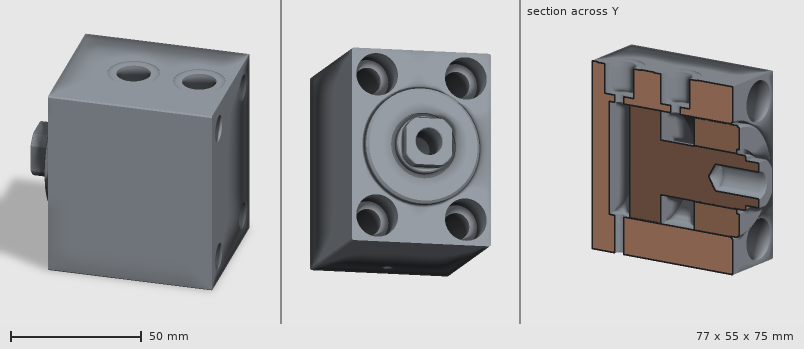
import cadquery as cq


BLOCK_LENGTH = 65.0
BLOCK_WIDTH = 55.0
BLOCK_HEIGHT = 75.0
EDGE_CHAMFER = 0.55

BORE_DIA = 44.8
BORE_DEPTH = 57.0
BORE_MOUTH_CHAMFER = 1.0

BOLT_SPACING_Y = 35.0
BOLT_SPACING_Z = 55.0
BOLT_DIA = 10.5
BOLT_HEAD_DIA = 16.5
BOLT_HEAD_DEPTH = 15.0

FRONT_PORT_X = 26.5
PORT_PITCH = 26.0
REAR_PORT_X = FRONT_PORT_X + PORT_PITCH
PORT_FACE_DIA = 20.0
PORT_FACE_DEPTH = 0.2
PORT_DIA = 13.2
PORT_DEPTH = 12.0
PORT_PASSAGE_DIA = 4.0

GLAND_PROJECTION = 3.0
GLAND_INSERTION = 18.0
GLAND_CHAMFER = 1.0
WIPER_RECESS_DIA = 25.5
WIPER_RECESS_DEPTH = 1.0

ROD_DIA = 22.0
ROD_PROJECTION = 12.0
ROD_SHOULDER_CHAMFER = 0.55
PISTON_START = 33.1
PISTON_END = 47.75

WRENCH_LENGTH = 6.0
WRENCH_DIA = ROD_DIA - 2 * ROD_SHOULDER_CHAMFER
WRENCH_FLATS = 18.0
WRENCH_CHAMFER = 0.3

THREAD_HOLE_DIA = 10.5
THREAD_HOLE_DEPTH = 20.0
THREAD_HOLE_CHAMFER = 0.3
DRILL_POINT_LENGTH = 3.1


def turned(profile):
    """Solid of revolution about X from (x, radius) points that start and end on the axis."""
    return cq.Workplane("XZ").polyline(profile).close().revolve(360, (0, 0, 0), (1, 0, 0))


def disc_along_x(start, end, diameter):
    return cq.Workplane("YZ", origin=(start, 0, 0)).circle(diameter / 2).extrude(end - start)


def make_bore():
    """Blind cylinder bore with a chamfered mouth."""
    radius = BORE_DIA / 2
    return turned([
        (0, 0),
        (0, radius + BORE_MOUTH_CHAMFER),
        (BORE_MOUTH_CHAMFER, radius),
        (BORE_DEPTH, radius),
        (BORE_DEPTH, 0),
    ])


def drill_mounting_holes(block):
    """Four counterbored holes running through the block along X."""
    return (
        block.faces("<X").workplane(origin=(0, 0, 0))
        .rect(BOLT_SPACING_Y, BOLT_SPACING_Z, forConstruction=True).vertices()
        .cboreHole(BOLT_DIA, BOLT_HEAD_DIA, BOLT_HEAD_DEPTH)
    )


def make_port(x):
    """Spot face, port bore and the passage that opens into the cylinder bore."""
    top = cq.Workplane("XY", origin=(x, 0, BLOCK_HEIGHT / 2))
    spot_face = top.circle(PORT_FACE_DIA / 2).extrude(-PORT_FACE_DEPTH)
    port_bore = top.circle(PORT_DIA / 2).extrude(-PORT_DEPTH)
    passage = top.circle(PORT_PASSAGE_DIA / 2).extrude(-BLOCK_HEIGHT / 2)
    return spot_face.union(port_bore).union(passage)


def make_block():
    block = cq.Workplane("XY").box(BLOCK_LENGTH, BLOCK_WIDTH, BLOCK_HEIGHT, centered=(False, True, True))
    block = block.edges("|X").chamfer(EDGE_CHAMFER)
    block = block.cut(make_bore())
    block = drill_mounting_holes(block)
    for x in (FRONT_PORT_X, REAR_PORT_X):
        block = block.cut(make_port(x))
    bottom_passage = (
        cq.Workplane("XY", origin=(REAR_PORT_X, 0, 0))
        .circle(PORT_PASSAGE_DIA / 2).extrude(-BLOCK_HEIGHT / 2)
    )
    return block.cut(bottom_passage)


def make_gland():
    """Guide ring that closes the bore, with a shallow wiper recess around the rod."""
    gland = disc_along_x(-GLAND_PROJECTION, GLAND_INSERTION, BORE_DIA).faces("<X").chamfer(GLAND_CHAMFER)
    rod_hole = disc_along_x(-GLAND_PROJECTION, GLAND_INSERTION, ROD_DIA)
    wiper_recess = disc_along_x(-GLAND_PROJECTION, WIPER_RECESS_DEPTH - GLAND_PROJECTION, WIPER_RECESS_DIA)
    return gland.cut(rod_hole).cut(wiper_recess)


def make_thread_hole():
    """Blind hole in the rod end with a chamfered mouth and a conical bottom."""
    radius = THREAD_HOLE_DIA / 2
    bottom = THREAD_HOLE_DEPTH - ROD_PROJECTION
    return turned([
        (-ROD_PROJECTION, 0),
        (-ROD_PROJECTION, radius + THREAD_HOLE_CHAMFER),
        (THREAD_HOLE_CHAMFER - ROD_PROJECTION, radius),
        (bottom, radius),
        (bottom + DRILL_POINT_LENGTH, 0),
    ])


def make_piston_rod():
    """Rod and piston in one piece, with four wrench flats on the outer end."""
    shoulder_x = WRENCH_LENGTH - ROD_PROJECTION
    rod = turned([
        (shoulder_x, 0),
        (shoulder_x, WRENCH_DIA / 2),
        (shoulder_x + ROD_SHOULDER_CHAMFER, ROD_DIA / 2),
        (PISTON_START, ROD_DIA / 2),
        (PISTON_START, BORE_DIA / 2),
        (PISTON_END, BORE_DIA / 2),
        (PISTON_END, 0),
    ])
    wrench_end = disc_along_x(-ROD_PROJECTION, shoulder_x, WRENCH_DIA).faces("<X").chamfer(WRENCH_CHAMFER)
    square = (
        cq.Workplane("YZ", origin=(-ROD_PROJECTION, 0, 0))
        .rect(WRENCH_FLATS, WRENCH_FLATS).extrude(WRENCH_LENGTH)
    )
    return rod.union(wrench_end.intersect(square)).cut(make_thread_hole())


block = make_block()
gland = make_gland()
piston_rod = make_piston_rod()

result = cq.Compound.makeCompound([block.val(), gland.val(), piston_rod.val()])